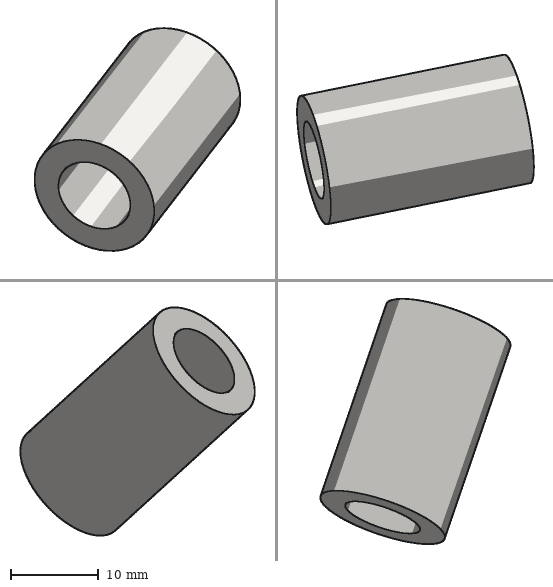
import cadquery as cq

length = 24.0
outer_diameter = 15.0
bore_diameter = 9.0

result = (
    cq.Workplane("XZ", origin=(0, length / 2, 0))
    .circle(outer_diameter / 2)
    .circle(bore_diameter / 2)
    .extrude(length)
)